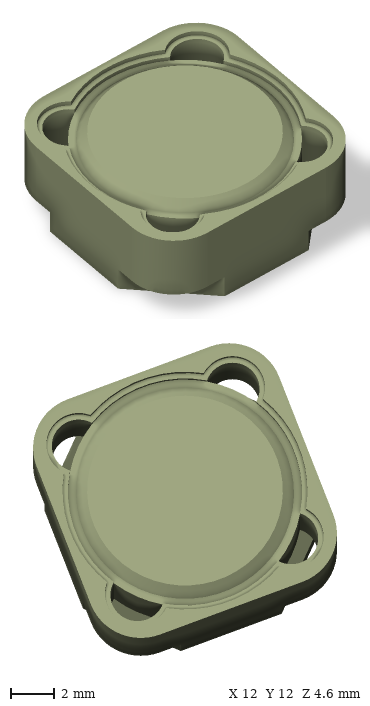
import cadquery as cq

side = 12.0
height = 4.6
corner_radius = 2.47

base_height = 1.21
base_corner_cut = 3.5

ledge_width = 0.25
ledge_depth = 0.25
bore_radius = 5.41
ring_floor_depth = 0.47

core_radius = 5.04
core_top_radius = 4.52

hole_radius = 1.25
hole_offset = 3.8

ledge_height = height - ledge_depth
ring_floor_height = height - ring_floor_depth
hole_centers = [(x, y) for x in (-hole_offset, hole_offset) for y in (-hole_offset, hole_offset)]


def cylinder(radius, bottom, top, centers=((0, 0),)):
    """Upright cylinders of one radius, standing on each of the centers."""
    return (
        cq.Workplane("XY", origin=(0, 0, bottom))
        .pushPoints(centers)
        .circle(radius)
        .extrude(top - bottom)
    )


def make_base():
    """Square block with its four corners cut off diagonally."""
    block = cq.Workplane("XY").rect(side, side).extrude(base_height)
    return block.edges("|Z").chamfer(base_corner_cut)


def make_housing():
    """Rounded square above the base, with a stepped bore and corner holes."""
    body = (
        cq.Workplane("XY", origin=(0, 0, base_height))
        .rect(side, side)
        .extrude(height - base_height)
        .edges("|Z")
        .fillet(corner_radius)
    )
    body = body.cut(cylinder(bore_radius + ledge_width, ledge_height, height))
    body = body.cut(cylinder(hole_radius + ledge_width, ledge_height, height, hole_centers))
    body = body.cut(cylinder(hole_radius, base_height, height, hole_centers))
    return body.cut(cylinder(bore_radius, base_height, height))


def make_core():
    """Solid disc filling the bore up to the ring floor, topped by a tapered rim."""
    disc = cylinder(bore_radius, base_height, ring_floor_height)
    tapered_top = (
        cq.Workplane("XY", origin=(0, 0, ring_floor_height))
        .circle(core_radius)
        .workplane(offset=ring_floor_depth)
        .circle(core_top_radius)
        .loft(combine=True)
    )
    return disc.union(tapered_top)


result = make_base().union(make_housing()).union(make_core())